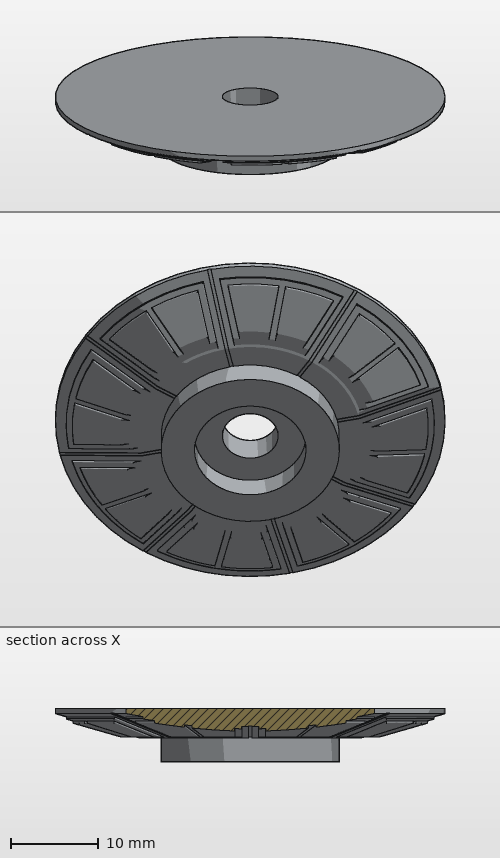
import cadquery as cq

disc_radius = 44.45 / 2
rim_thickness = 0.61
disc_thickness = 3.36
total_height = 6.09
cone_inner_radius = 12.7
cone_slope = (disc_thickness - rim_thickness) / (disc_radius - cone_inner_radius)

boss_radius = 20.32 / 2
hole_radius = 6.35 / 2
counterbore_radius = 12.7 / 2

spoke_count = 8
spoke_pitch = 360 / spoke_count
groove_width = 0.4
groove_depth = 0.08
panel_flat_depth = 3.27
panel_edge_radius = 0.1
panel_step = 0.265
lower_panel_radius = 21.0
lower_panel_gap = 1.9
upper_panel_radius = 20.3
upper_panel_gap = 3.5
slot_width = 0.75


def cone_layer(radius, rise, flat_depth):
    """Disc whose underside is the cone, lowered by `rise` and cut flat at `flat_depth`."""
    edge_depth = rim_thickness + cone_slope * (disc_radius - radius) + rise
    flat_radius = radius - (flat_depth - edge_depth) / cone_slope
    half_section = [
        (0, 0),
        (radius, 0),
        (radius, -edge_depth),
        (flat_radius, -flat_depth),
        (0, -flat_depth),
    ]
    return cq.Workplane("XZ").polyline(half_section).close().revolve(360, (0, 0), (0, 1))


def cut_radial_strips(layer, width, first_angle):
    """Remove full-height strips through the axis, one spoke pitch apart."""
    strip_length = 3 * disc_radius
    strip_height = 2 * total_height
    for i in range(spoke_count // 2):
        strip = cq.Workplane("XY").box(strip_length, width, strip_height)
        layer = layer.cut(strip.rotate((0, 0, 0), (0, 0, 1), first_angle + i * spoke_pitch))
    return layer


def round_panel_edges(layer):
    """Round the outer and side edges of the conical panel faces."""
    return layer.faces("%CONE").edges("not <Z").fillet(panel_edge_radius)


def make_disc():
    floor = cone_layer(disc_radius, -groove_depth, disc_thickness - groove_depth)
    skin = cut_radial_strips(cone_layer(disc_radius, 0, disc_thickness), groove_width, 0)
    return floor.union(skin)


def make_lower_panels():
    layer = cone_layer(lower_panel_radius, panel_step, panel_flat_depth)
    return round_panel_edges(cut_radial_strips(layer, lower_panel_gap, 0))


def make_upper_panels():
    layer = cone_layer(upper_panel_radius, 2 * panel_step, panel_flat_depth)
    layer = cut_radial_strips(layer, upper_panel_gap, 0)
    return round_panel_edges(cut_radial_strips(layer, slot_width, spoke_pitch / 2))


def make_boss():
    return cq.Workplane("XY").circle(boss_radius).extrude(-total_height)


def make_bore():
    hole = cq.Workplane("XY").circle(hole_radius).extrude(-total_height)
    counterbore = (
        cq.Workplane("XY")
        .workplane(offset=-total_height)
        .circle(counterbore_radius)
        .extrude(total_height - disc_thickness)
    )
    return hole.union(counterbore)


result = make_disc().union(make_lower_panels()).union(make_upper_panels())
result = result.union(make_boss()).cut(make_bore())